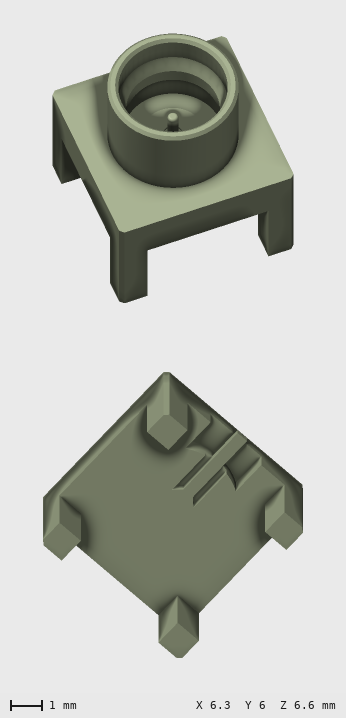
import cadquery as cq

total_height = 6.6
leg_height = 2.5
base_top = 3.9

base_width = 6.0
leg_gap = 4.17
corner_chamfer = 0.13

barrel_diameter = 4.2
rim_chamfer = 0.1
mouth_diameter = 3.5
bore_diameter = 3.0
groove_diameter = 3.2
seat_depth = 0.9
seat_height = 0.43
groove_depth = 1.8
floor_z = base_top

insulator_diameter = 2.0
pin_recess_diameter = 0.6
floor_step = 0.05
pin_diameter = 0.35
pin_height = 1.0
pin_tip_radius = 0.085

window_width = 2.18
window_height = 0.8
tail_width = 0.4
tail_height = 0.3
tail_overhang = 0.305
channel_width = 0.925
channel_end_x = -channel_width / 2

wall_x = -base_width / 2


def cylinder(diameter, bottom_z, height):
    return cq.Workplane("XY").workplane(offset=bottom_z).circle(diameter / 2).extrude(height)


def make_base():
    block = cq.Workplane("XY").rect(base_width, base_width).extrude(base_top)
    block = block.edges("|Z").chamfer(corner_chamfer)
    gap_x = cq.Workplane("XY").rect(base_width, leg_gap).extrude(leg_height)
    gap_y = cq.Workplane("XY").rect(leg_gap, base_width).extrude(leg_height)
    return block.cut(gap_x).cut(gap_y)


def make_window():
    """Opening in the -X wall, stopping at the round core below the barrel."""
    opening = (
        cq.Workplane("XY")
        .box(base_width / 2, window_width, window_height, centered=(False, True, False))
        .translate((wall_x, 0, leg_height))
    )
    return opening.cut(cylinder(barrel_diameter, leg_height, window_height))


def make_channel():
    """Groove in the underside of the core that clears the contact tail."""
    return (
        cq.Workplane("XY")
        .box(channel_end_x - wall_x, channel_width, tail_height, centered=(False, True, False))
        .translate((wall_x, 0, leg_height))
    )


def make_tail():
    """Flat tail whose inner end widens at 45 degrees to fill the channel."""
    half_tail = tail_width / 2
    half_channel = channel_width / 2
    tip_x = wall_x - tail_overhang
    shoulder_x = channel_end_x - (half_channel - half_tail)
    outline = [
        (tip_x, -half_tail),
        (shoulder_x, -half_tail),
        (channel_end_x, -half_channel),
        (channel_end_x, half_channel),
        (shoulder_x, half_tail),
        (tip_x, half_tail),
    ]
    return cq.Workplane("XY").workplane(offset=leg_height).polyline(outline).close().extrude(tail_height)


def make_barrel():
    barrel = cylinder(barrel_diameter, base_top, total_height - base_top)
    return barrel.faces(">Z").edges().chamfer(rim_chamfer)


def make_bore():
    """Chamfered mouth, tapered seat, narrow bore and wide lower bore, as one turned profile."""
    mouth_radius = mouth_diameter / 2
    bore_radius = bore_diameter / 2
    groove_radius = groove_diameter / 2
    seat_top = total_height - seat_depth
    seat_bottom = seat_top - seat_height
    groove_top = total_height - groove_depth
    profile = [
        (0, floor_z),
        (groove_radius, floor_z),
        (groove_radius, groove_top),
        (bore_radius, groove_top),
        (bore_radius, seat_bottom),
        (mouth_radius, seat_top),
        (mouth_radius, total_height - rim_chamfer),
        (mouth_radius + rim_chamfer, total_height),
        (0, total_height),
    ]
    return cq.Workplane("XZ").polyline(profile).close().revolve(360, (0, 0, 0), (0, 1, 0))


def make_centre():
    """Low insulator disc with a shallow recess around the round-tipped pin."""
    disc = cylinder(insulator_diameter, floor_z, floor_step)
    recess = cylinder(pin_recess_diameter, floor_z, floor_step)
    pin = cylinder(pin_diameter, floor_z, pin_height).faces(">Z").edges().fillet(pin_tip_radius)
    return disc.cut(recess).union(pin)


housing = make_base().cut(make_window()).cut(make_channel())
result = housing.union(make_barrel()).cut(make_bore()).union(make_centre()).union(make_tail())